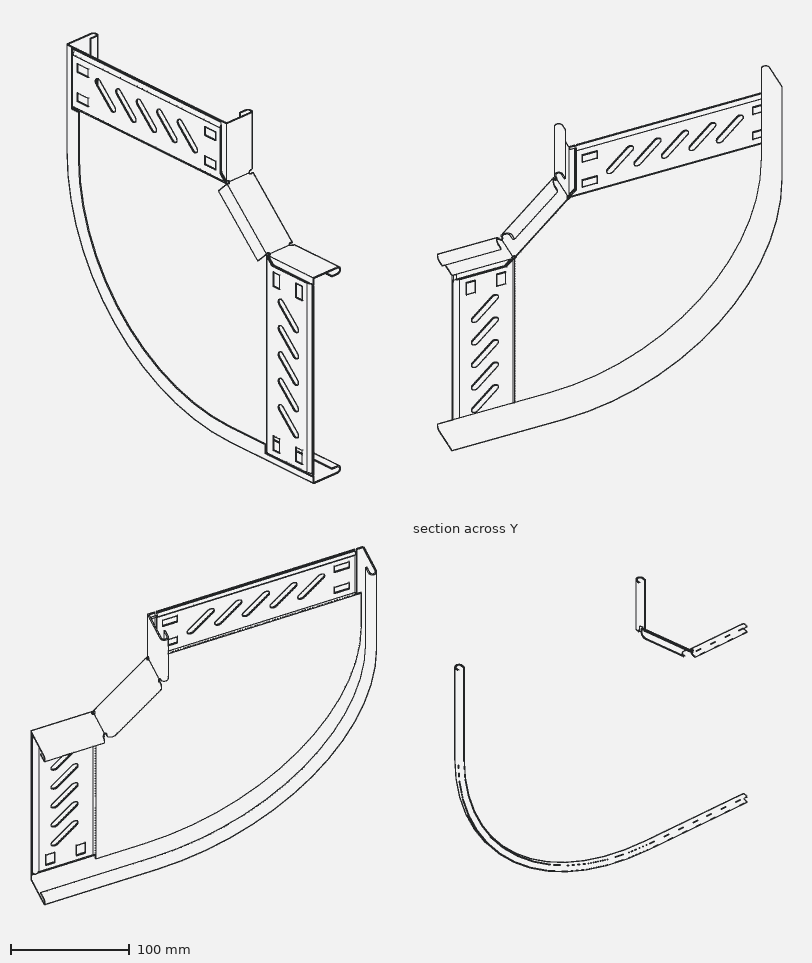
import cadquery as cq
import math

OVERALL = 302.0
HEIGHT = 32.0
SHEET = 1.2
OUTER_RADIUS = 200.0
OPENING = 196.3
INNER_CORNER = 245.8

FLOOR_BEND = 1.8
LIP_RADIUS = 3.5
LIP_RETURN = 10.0
WIDE_FLANGE = 15.0
NARROW_FLANGE = 6.5
FLANGE_STEP = 243.0

TAB_SETBACK = 1.0
ARM_FLANGE_SETBACK = 2.5
ARM_LIP_SETBACK = 2.0
FLANGE_CHAMFER = 5.7
RELIEF_RADIUS = 1.5
RELIEF_INSET = 0.5

EDGE_GAP = 3.0
TONGUE_SIDE_GAP = 1.5
JOGGLE_START = 244.0
JOGGLE_LENGTH = 2.0
BEAD_START = 295.0
BEAD_SLOPE_END = 297.0
BEAD_SLOPE_DEPTH = 1.0
BEAD_END = 300.8
BEAD_DEPTH = 1.5
FLARE_WIDTH = 5.5
FLARE_TOP = 252.0

SLOT_COUNT = 5
SLOT_PITCH = 25.0
SLOT_WIDTH = 7.0
SLOT_CENTRE_LENGTH = 25.0
SLOT_ROW = 271.8
SLOT_ANGLE = -45.0
HOLE_LENGTH = 13.5
HOLE_WIDTH = 8.2
HOLE_SPACING_ACROSS = 155.8
HOLE_ROWS = (257.0, 284.8)

TONGUE_MIDDLE = OPENING / 2
TONGUE_WIDTH = OPENING - 2 * (NARROW_FLANGE + TONGUE_SIDE_GAP)
STRAIGHT = OVERALL - OUTER_RADIUS
DIAGONAL = (INNER_CORNER - OPENING) * math.sqrt(2)

ALONG_X = (1, 0, 0)
ALONG_Z = (0, 0, 1)
MIRROR_NORMAL = cq.Vector(1, 0, -1)


def plan_plane(y):
    """Plane at height y whose local x, y are the part's X, Z; it extrudes towards -Y."""
    return cq.Plane(origin=(0, y, 0), xDir=ALONG_X, normal=(0, -1, 0))


def plan_solid(outline, y_low, y_high):
    """Straight-sided solid from a list of (X, Z) corners."""
    return cq.Workplane(plan_plane(y_high)).polyline(outline).close().extrude(y_high - y_low)


def swap_arms(body):
    """Copy of a feature of the upper arm, placed on the right arm."""
    return cq.Workplane(body.val().mirror(MIRROR_NORMAL))


def section_plane(x, z, inward):
    """Plane across a wall: local x points inward from its outer face, local y up the wall."""
    inward_direction = cq.Vector(*inward)
    return cq.Plane(origin=(x, 0, z), xDir=inward_direction,
                    normal=inward_direction.cross(cq.Vector(0, 1, 0)))


def draw_rounded_flange(plane, flange):
    """Flange with a rounded bend into the lower end of the wall."""
    on_diagonal = 1 - math.sqrt(0.5)
    outer_middle = FLOOR_BEND * on_diagonal
    inner_middle = SHEET + (FLOOR_BEND - SHEET) * on_diagonal
    return (
        cq.Workplane(plane)
        .moveTo(flange, 0)
        .lineTo(FLOOR_BEND, 0)
        .threePointArc((outer_middle, outer_middle), (0, FLOOR_BEND))
        .lineTo(SHEET, FLOOR_BEND)
        .threePointArc((inner_middle, inner_middle), (FLOOR_BEND, SHEET))
        .lineTo(flange, SHEET)
        .close()
    )


def draw_square_flange(plane, flange):
    """Flange that meets the wall in a square corner."""
    return cq.Workplane(plane).moveTo(flange / 2, SHEET / 2).rect(flange, SHEET)


def draw_wall(plane):
    """Flat part of the wall, between the two bends."""
    flat_height = HEIGHT - LIP_RADIUS - FLOOR_BEND
    return (
        cq.Workplane(plane)
        .moveTo(SHEET / 2, FLOOR_BEND + flat_height / 2)
        .rect(SHEET, flat_height)
    )


def draw_lip(plane):
    """Top edge rolled over by half a turn and carried back down."""
    spring = HEIGHT - LIP_RADIUS
    free_edge = HEIGHT - LIP_RETURN
    width = 2 * LIP_RADIUS
    return (
        cq.Workplane(plane)
        .moveTo(0, spring)
        .threePointArc((LIP_RADIUS, HEIGHT), (width, spring))
        .lineTo(width, free_edge)
        .lineTo(width - SHEET, free_edge)
        .lineTo(width - SHEET, spring)
        .threePointArc((LIP_RADIUS, HEIGHT - SHEET), (SHEET, spring))
        .close()
    )


def outer_sections(plane):
    return [draw_rounded_flange(plane, WIDE_FLANGE), draw_wall(plane), draw_lip(plane)]


def join(parts):
    body = parts[0]
    for part in parts[1:]:
        body = body.union(part)
    return body


def flange_notch():
    """Clears the wide flange beside the upper tongue."""
    size = OVERALL
    return (
        cq.Workplane("XY").box(size, SHEET, size, centered=False)
        .translate((NARROW_FLANGE, 0, FLANGE_STEP))
    )


def make_outer_rail():
    """Curved outer side wall with straight runs into both arms."""
    upper = section_plane(0, OUTER_RADIUS, ALONG_X)
    right = section_plane(OVERALL, 0, ALONG_Z)
    parts = [s.extrude(STRAIGHT) for s in outer_sections(upper)]
    parts += [s.revolve(90, (OUTER_RADIUS, 3, 0), (OUTER_RADIUS, 0, 0))
              for s in outer_sections(upper)]
    parts += [s.extrude(STRAIGHT) for s in outer_sections(right)]
    notch = flange_notch()
    return join(parts).cut(notch).cut(swap_arms(notch))


def inner_wall_band():
    """The three flat walls of the inner side as one bent strip."""
    shift = SHEET * math.tan(math.radians(22.5))
    inside = OPENING - SHEET
    corner = INNER_CORNER - shift
    outline = [
        (OPENING, OVERALL), (OPENING, INNER_CORNER), (INNER_CORNER, OPENING), (OVERALL, OPENING),
        (OVERALL, inside), (corner, inside), (inside, corner), (inside, OVERALL),
    ]
    return plan_solid(outline, 0, HEIGHT - LIP_RADIUS)


def inner_arm_edges():
    """Flange and lip of the upper inner wall; the flange ends in a chamfer short of the corner."""
    plane = section_plane(OPENING, OVERALL, (-1, 0, 0))
    length = OVERALL - INNER_CORNER
    flange = draw_square_flange(plane, NARROW_FLANGE).extrude(length - ARM_FLANGE_SETBACK)
    flange_end = INNER_CORNER + ARM_FLANGE_SETBACK
    tip = OPENING - NARROW_FLANGE
    corner = plan_solid(
        [(tip, flange_end), (tip + FLANGE_CHAMFER, flange_end), (tip, flange_end + FLANGE_CHAMFER)],
        0, SHEET)
    return flange.cut(corner).union(draw_lip(plane).extrude(length - ARM_LIP_SETBACK))


def inner_diagonal_edges():
    """Square-ended flange and lip of the diagonal wall; the lip is cut in line with the arm walls."""
    inward = (-math.sqrt(0.5), 0, -math.sqrt(0.5))
    step = TAB_SETBACK * math.sqrt(0.5)
    plane = section_plane(OPENING + step, INNER_CORNER - step, inward)
    length = DIAGONAL - 2 * TAB_SETBACK
    flange = draw_square_flange(plane, WIDE_FLANGE).extrude(length)
    between_arms = cq.Workplane("XY").box(OVERALL, HEIGHT, OVERALL, centered=False).translate(
        (OPENING, 0, OPENING))
    lip = draw_lip(plane).extrude(length).intersect(between_arms)
    return flange.union(lip)


def corner_reliefs():
    """Round holes through the upper inner corner, square to the line that halves its angle."""
    bisector = math.radians(22.5)
    plane = cq.Plane(
        origin=(OPENING, 0, INNER_CORNER),
        xDir=(math.sin(bisector), 0, -math.cos(bisector)),
        normal=(math.cos(bisector), 0, math.sin(bisector)),
    )
    return (
        cq.Workplane(plane)
        .pushPoints([(0, SHEET + RELIEF_INSET), (0, HEIGHT - LIP_RADIUS - RELIEF_INSET)])
        .circle(RELIEF_RADIUS)
        .extrude(2 * SHEET, both=True)
    )


def make_inner_rail():
    arm = inner_arm_edges()
    relief = corner_reliefs()
    parts = [inner_wall_band(), inner_diagonal_edges(), arm, swap_arms(arm)]
    return join(parts).cut(relief).cut(swap_arms(relief))


def plate_middle():
    """Flat floor, one sheet above the flanges, with its edge inside the side walls."""
    far = JOGGLE_START
    edge_radius = OUTER_RADIUS - EDGE_GAP
    mid = OUTER_RADIUS - edge_radius * math.sqrt(0.5)
    diagonal_sum = OPENING + INNER_CORNER - EDGE_GAP * math.sqrt(2)
    return (
        cq.Workplane(plan_plane(2 * SHEET))
        .moveTo(EDGE_GAP, far)
        .lineTo(EDGE_GAP, OUTER_RADIUS)
        .threePointArc((mid, mid), (OUTER_RADIUS, EDGE_GAP))
        .lineTo(far, EDGE_GAP)
        .lineTo(far, diagonal_sum - far)
        .lineTo(diagonal_sum - far, far)
        .close()
        .extrude(SHEET)
    )


def tongue_sheet(left, width):
    """Sheet stepped down flush with the flanges, with a stiffening bead along its end."""
    joggle_end = JOGGLE_START + JOGGLE_LENGTH
    bead_middle = (BEAD_SLOPE_END + BEAD_END) / 2
    plane = cq.Plane(origin=(left, 0, 0), xDir=ALONG_Z, normal=(-1, 0, 0))
    return (
        cq.Workplane(plane)
        .moveTo(JOGGLE_START, SHEET)
        .lineTo(joggle_end, 0)
        .lineTo(BEAD_START, 0)
        .lineTo(BEAD_SLOPE_END, BEAD_SLOPE_DEPTH)
        .threePointArc((bead_middle, BEAD_DEPTH), (BEAD_END, 0))
        .lineTo(OVERALL, 0)
        .lineTo(OVERALL, SHEET)
        .lineTo(BEAD_END, SHEET)
        .threePointArc((bead_middle, BEAD_DEPTH + SHEET), (BEAD_SLOPE_END, BEAD_SLOPE_DEPTH + SHEET))
        .lineTo(BEAD_START, SHEET)
        .lineTo(joggle_end, SHEET)
        .lineTo(JOGGLE_START, 2 * SHEET)
        .close()
        .extrude(-width)
    )


def tongue_blank():
    """Tongue with its flared root beside the inner rail."""
    left = TONGUE_MIDDLE - TONGUE_WIDTH / 2
    right = left + TONGUE_WIDTH
    flared_edge = right + FLARE_WIDTH
    beside_flare = [
        (right, OVERALL), (right, FLARE_TOP), (flared_edge, FLARE_TOP - FLARE_WIDTH),
        (flared_edge, OVERALL),
    ]
    trim = plan_solid(beside_flare, 0, 2 * SHEET)
    return tongue_sheet(left, TONGUE_WIDTH + FLARE_WIDTH).cut(trim)


def tongue_holes():
    """Row of slanting slots with a rectangular hole near each corner."""
    top = 2 * SHEET
    first = TONGUE_MIDDLE - SLOT_PITCH * (SLOT_COUNT - 1) / 2
    slots = (
        cq.Workplane(plan_plane(top))
        .pushPoints([(first + i * SLOT_PITCH, SLOT_ROW) for i in range(SLOT_COUNT)])
        .slot2D(SLOT_CENTRE_LENGTH + SLOT_WIDTH, SLOT_WIDTH, SLOT_ANGLE)
        .extrude(top)
    )
    corners = [(TONGUE_MIDDLE + side * HOLE_SPACING_ACROSS / 2, row)
               for side in (-1, 1) for row in HOLE_ROWS]
    rectangles = (
        cq.Workplane(plan_plane(top)).pushPoints(corners).rect(HOLE_LENGTH, HOLE_WIDTH).extrude(top)
    )
    return slots.union(rectangles)


def make_floor_plate():
    tongue = tongue_blank().cut(tongue_holes())
    return plate_middle().union(tongue).union(swap_arms(tongue))


outer_rail = make_outer_rail()
inner_rail = make_inner_rail()
floor_plate = make_floor_plate()
result = cq.Compound.makeCompound([
    *outer_rail.solids().vals(),
    *inner_rail.solids().vals(),
    *floor_plate.solids().vals(),
])